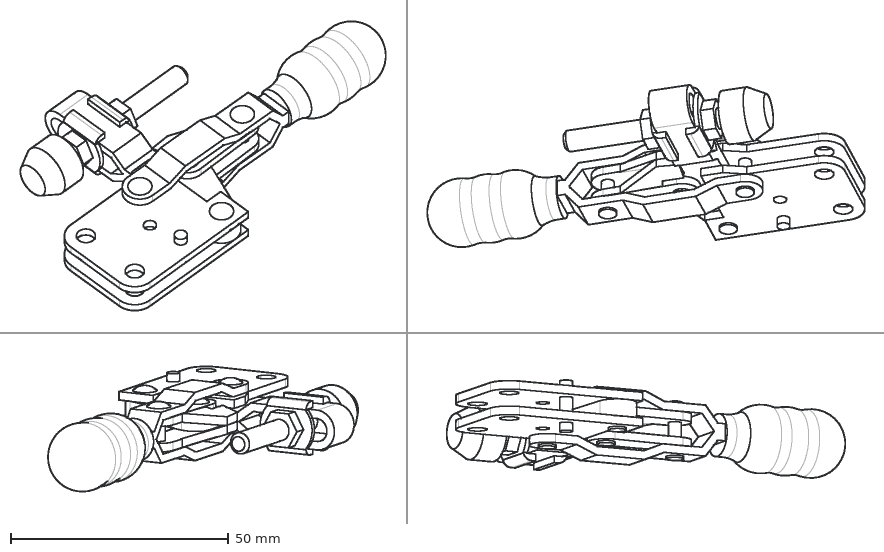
import cadquery as cq
import math


sheet = 2.0
arm_half = sheet
base_outer = arm_half + sheet
handle_outer = base_outer + sheet

handle_pivot = (0.0, 0.0)
arm_pivot = (17.5, 9.1)
link_arm_pivot = (0.2, 15.1)
handle_tilt = -0.5
link_distance = 33.0
link_handle_pivot = (
    -link_distance * math.sin(math.radians(handle_tilt)),
    link_distance * math.cos(math.radians(handle_tilt)),
)

rivet_radius = 1.5
dome_radius = 2.8
dome_height = 1.1
tail_radius = 2.1
tail_height = 0.5
pin_half_length = 5.9

base_left = -3.9
base_right = 22.0
base_bottom = -23.6
base_top = 8.9
corner_radius = 5.0
nose_left = -6.0
nose_bottom = 3.6
nose_taper_end = -1.5
tab_left = 12.9
tab_top = 13.3
mounting_hole_radius = 2.2
small_hole_y = -5.8
pin_y = -4.2

length_x = 57.0
loop_outer_radius = 4.7
arm_left = base_right - length_x
loop_center_x = arm_left + loop_outer_radius
bend_start_x = -13.1
bend_end_x = -9.4
arm_bottom = 4.0
arm_top = 13.1
arm_center_y = (arm_bottom + arm_top) / 2
arm_pivot_end_radius = base_right - arm_pivot[0]
arm_link_end_radius = 4.9
flat_start_x = -9.0
arm_neck_x = -5.2

link_handle_end_radius = 3.8
link_arm_end_radius = 4.3
wing_angle = 18.0
wing_bend_x = -3.5
wing_top_y = 29.1
wing_left = -9.7
wing_shoulder_y = 18.5
wing_foot_left = -9.3
slot_left = -5.4
slot_top = wing_shoulder_y
slot_corner_radius = 0.8

handle_half_width = 4.1
bow_rise = 2.04
bow_lower_start = 5.73
bow_lower_end = 10.9
bow_upper_end = 23.1
bow_upper_start = 28.0
neck_bend_start = 38.3
neck_bend_end = 41.5

grip_radius = 8.0
grip_end = 76.0
grip_start = 43.9
collar_end = 46.4
collar_radius = 5.0
grip_neck_y = 49.6
groove_radius = 7.6
groove_half_width = 1.4
upper_groove_y = 64.9
lower_groove_y = 57.9
end_ball_y = grip_end - grip_radius
middle_ball_y = (upper_groove_y + lower_groove_y) / 2
lower_ball_y = 55.1

spindle_x = -22.8
rod_radius = 2.5
rod_end = 36.6
rod_chamfer = 0.8
washer_thickness = 1.1
washer_radius = 6.9
lip_width = 10.4
lip_end = 2.2
lip_top = 6.3
lip_bend_radius = 2.2
nut_flats = 8.0
nut_height = 3.1
cap_radius = 6.3
cap_tip_radius = 4.1
cap_back = -1.9
cap_shoulder = -7.9
cap_tip = -12.2


def slab(bottom, top):
    """Sketch plane at Z = bottom and the extrusion height up to Z = top."""
    return cq.Workplane("XY", origin=(0, 0, bottom)), top - bottom


def cylinder(center, radius, bottom, top):
    plane, height = slab(bottom, top)
    return plane.center(*center).circle(radius).extrude(height)


def both_sides(shape):
    """The shape together with its mirror image below Z = 0."""
    return shape.union(shape.mirror("XY"))


def strap(start, start_radius, end, end_radius, bottom, top):
    """Flat bar with round ends joined by the outer tangents of the two end circles."""
    dx = end[0] - start[0]
    dy = end[1] - start[1]
    along = math.atan2(dy, dx)
    spread = math.acos((start_radius - end_radius) / math.hypot(dx, dy))

    def on_circle(center, radius, angle):
        return (center[0] + radius * math.cos(angle), center[1] + radius * math.sin(angle))

    plane, height = slab(bottom, top)
    return (
        plane.moveTo(*on_circle(start, start_radius, along - spread))
        .lineTo(*on_circle(end, end_radius, along - spread))
        .threePointArc(on_circle(end, end_radius, along), on_circle(end, end_radius, along + spread))
        .lineTo(*on_circle(start, start_radius, along + spread))
        .threePointArc(
            on_circle(start, start_radius, along + math.pi),
            on_circle(start, start_radius, along - spread),
        )
        .close()
        .extrude(height)
    )


def sheet_outline(center_line):
    """Closed outline of a bent sheet, mitred at the bends of its centre line."""
    headings = []
    for (u0, v0), (u1, v1) in zip(center_line, center_line[1:]):
        headings.append(math.atan2(v1 - v0, u1 - u0))
    left_side = []
    right_side = []
    for index, (u, v) in enumerate(center_line):
        before = headings[max(index - 1, 0)]
        after = headings[min(index, len(headings) - 1)]
        normal = (before + after) / 2 + math.pi / 2
        reach = sheet / 2 / math.cos((after - before) / 2)
        du = reach * math.cos(normal)
        dv = reach * math.sin(normal)
        left_side.append((u + du, v + dv))
        right_side.append((u - du, v - dv))
    return left_side + right_side[::-1]


def rivet(center, outer):
    """Rivet through both sheets whose outer faces are at Z = +outer and -outer."""
    shank = cylinder(center, rivet_radius, -outer, outer)
    tail = cylinder(center, tail_radius, -outer - tail_height, -outer)
    ball_radius = (dome_radius**2 + dome_height**2) / (2 * dome_height)
    ball_z = outer + dome_height - ball_radius
    ball = cq.Workplane("XY", origin=(*center, ball_z)).sphere(ball_radius)
    dome = ball.intersect(cylinder(center, dome_radius, outer, outer + dome_height))
    return shank.union(tail).union(dome)


def make_base():
    plane, height = slab(arm_half, base_outer)
    plate = (
        plane.polyline([
            (base_left, base_bottom),
            (base_right, base_bottom),
            (base_right, tab_top),
            (tab_left, tab_top),
            (tab_left, base_top),
            (nose_left, base_top),
            (nose_left, nose_bottom),
            (base_left, nose_taper_end),
        ])
        .close()
        .extrude(height)
        .edges("|Z and <Y")
        .fillet(corner_radius)
    )
    middle_x = (base_left + base_right) / 2
    hole_y = base_bottom + corner_radius
    for hole_x in (base_left + corner_radius, base_right - corner_radius):
        plate = plate.cut(cylinder((hole_x, hole_y), mounting_hole_radius, arm_half, base_outer))
    for center in ((middle_x, small_hole_y), handle_pivot):
        plate = plate.cut(cylinder(center, rivet_radius, arm_half, base_outer))
    pin = cylinder((arm_pivot[0], pin_y), rivet_radius, -pin_half_length, pin_half_length)
    return both_sides(plate).union(pin).union(rivet(arm_pivot, base_outer))


def make_arm():
    center_radius = loop_outer_radius - sheet / 2
    leg_outline = sheet_outline([
        (loop_center_x, center_radius),
        (bend_start_x, center_radius),
        (bend_end_x, sheet / 2),
        (flat_start_x, sheet / 2),
    ])
    fork_plane = cq.Workplane("XZ", origin=(0, arm_top, 0))
    width = arm_top - arm_bottom
    legs = both_sides(fork_plane.polyline(leg_outline).close().extrude(width))

    ring = (
        fork_plane.center(loop_center_x, 0)
        .circle(loop_outer_radius)
        .circle(loop_outer_radius - sheet)
        .extrude(width)
    )
    left_half = cq.Workplane("XY").box(
        loop_outer_radius, width, 2 * loop_outer_radius
    ).translate((loop_center_x - loop_outer_radius / 2, arm_center_y, 0))
    loop = ring.intersect(left_half)

    plane, height = slab(-arm_half, arm_half)
    web = (
        plane.polyline([
            (flat_start_x, arm_bottom),
            (handle_pivot[0], arm_bottom),
            (arm_pivot[0], arm_pivot[1] - arm_pivot_end_radius),
            arm_pivot,
            link_arm_pivot,
            (link_arm_pivot[0] - arm_link_end_radius, link_arm_pivot[1]),
            (arm_neck_x, arm_top),
            (flat_start_x, arm_top),
        ])
        .close()
        .extrude(height)
    )
    crank = strap(
        link_arm_pivot, arm_link_end_radius, arm_pivot, arm_pivot_end_radius, -arm_half, arm_half
    )
    arm = legs.union(loop).union(web).union(crank)
    for center in (arm_pivot, link_arm_pivot):
        arm = arm.cut(cylinder(center, rivet_radius, -arm_half, arm_half))
    return arm


def make_wing():
    link_z = arm_half + sheet / 2
    tip_x = wing_left - sheet
    tip_z = link_z - (wing_bend_x - tip_x) * math.tan(math.radians(wing_angle))
    profile = sheet_outline([
        (tip_x, tip_z),
        (wing_bend_x, link_z),
        (link_arm_pivot[0], link_z),
    ])
    length = wing_top_y - arm_top
    bent_sheet = cq.Workplane("XZ", origin=(0, wing_top_y, 0)).polyline(profile).close().extrude(length)
    arc_side = slot_corner_radius * (1 - math.sqrt(0.5))
    plane, height = slab(0, base_outer)
    footprint = (
        plane.polyline([
            (link_arm_pivot[0], wing_top_y),
            (link_handle_pivot[0] - link_handle_end_radius, wing_top_y),
            (wing_left, wing_shoulder_y),
            (wing_foot_left, arm_top),
            (slot_left, arm_top),
            (slot_left, slot_top - slot_corner_radius),
        ])
        .threePointArc(
            (slot_left + arc_side, slot_top - arc_side), (slot_left + slot_corner_radius, slot_top)
        )
        .lineTo(link_arm_pivot[0], slot_top)
        .close()
        .extrude(height)
    )
    return bent_sheet.intersect(footprint)


def make_link():
    bar = strap(
        link_handle_pivot, link_handle_end_radius, link_arm_pivot, link_arm_end_radius,
        arm_half, base_outer,
    )
    bar = bar.union(make_wing()).cut(cylinder(link_handle_pivot, rivet_radius, 0, base_outer))
    return both_sides(bar).union(rivet(link_arm_pivot, base_outer))


def make_legs():
    leg_z = base_outer + sheet / 2
    bow_z = leg_z + bow_rise
    profile = sheet_outline([
        (-handle_half_width, leg_z),
        (bow_lower_start, leg_z),
        (bow_lower_end, bow_z),
        (bow_upper_end, bow_z),
        (bow_upper_start, leg_z),
        (neck_bend_start, leg_z),
        (neck_bend_end, sheet / 2),
        (collar_end, sheet / 2),
    ])
    leg = (
        cq.Workplane("YZ", origin=(-handle_half_width, 0, 0))
        .polyline(profile)
        .close()
        .extrude(2 * handle_half_width)
    )
    neck_end = (0, collar_end)
    round_ended = strap(
        handle_pivot, handle_half_width, neck_end, handle_half_width, 0, handle_outer + bow_rise
    )
    return both_sides(leg.intersect(round_ended))


def make_grip():
    def on_ball(center_y, y):
        return (math.sqrt(grip_radius**2 - (y - center_y) ** 2), y)

    neck = on_ball(lower_ball_y, grip_neck_y)
    neck_middle = ((neck[0] + 2 * collar_radius) / 3, (grip_neck_y + collar_end) / 2)
    upper_edges = (upper_groove_y + groove_half_width, upper_groove_y - groove_half_width)
    lower_edges = (lower_groove_y + groove_half_width, lower_groove_y - groove_half_width)
    return (
        cq.Workplane("XY")
        .moveTo(0, grip_end)
        .threePointArc(
            on_ball(end_ball_y, end_ball_y + grip_radius / 2), on_ball(end_ball_y, upper_edges[0])
        )
        .threePointArc((groove_radius, upper_groove_y), on_ball(middle_ball_y, upper_edges[1]))
        .threePointArc((grip_radius, middle_ball_y), on_ball(middle_ball_y, lower_edges[0]))
        .threePointArc((groove_radius, lower_groove_y), on_ball(lower_ball_y, lower_edges[1]))
        .threePointArc((grip_radius, lower_ball_y), neck)
        .threePointArc(neck_middle, (collar_radius, collar_end))
        .lineTo(collar_radius, grip_start)
        .lineTo(0, grip_start)
        .close()
        .revolve(360, (0, 0, 0), (0, 1, 0))
    )


def make_handle():
    handle = make_legs().union(make_grip())
    for rivet_y in (0, link_distance):
        handle = handle.union(rivet((0, rivet_y), handle_outer))
    return handle.rotate((0, 0, 0), (0, 0, 1), handle_tilt)


def make_washer_and_nut():
    """Washer and nut on the +Y edge of the arm."""
    outer_face = arm_top + washer_thickness
    disc = (
        cq.Workplane("XZ", origin=(spindle_x, outer_face, 0))
        .circle(washer_radius)
        .extrude(washer_thickness)
        .intersect(
            cq.Workplane("XY", origin=(spindle_x, arm_top, 0))
            .box(2 * washer_radius, 2 * washer_thickness, 2 * loop_outer_radius)
        )
    )
    arc_side = lip_bend_radius * (1 - math.sqrt(0.5))
    lip = (
        cq.Workplane("YZ", origin=(spindle_x - lip_width / 2, 0, 0))
        .moveTo(outer_face, 0)
        .lineTo(outer_face, lip_top - lip_bend_radius)
        .threePointArc(
            (outer_face - arc_side, lip_top - arc_side), (outer_face - lip_bend_radius, lip_top)
        )
        .lineTo(arm_top - lip_end, lip_top)
        .lineTo(arm_top - lip_end, loop_outer_radius)
        .lineTo(arm_top, loop_outer_radius)
        .lineTo(arm_top, 0)
        .close()
        .extrude(lip_width)
    )
    nut = (
        cq.Workplane("XZ", origin=(spindle_x, outer_face + nut_height, 0))
        .polygon(6, nut_flats / math.cos(math.pi / 6))
        .extrude(nut_height)
    )
    return disc.union(both_sides(lip)).union(nut)


def make_spindle():
    shaft = (
        cq.Workplane("XY")
        .polyline([
            (0, rod_end),
            (rod_radius - rod_chamfer, rod_end),
            (rod_radius, rod_end - rod_chamfer),
            (rod_radius, cap_back),
            (cap_radius, cap_back),
            (cap_radius, cap_shoulder),
            (cap_tip_radius, cap_tip),
            (0, cap_tip),
        ])
        .close()
        .revolve(360, (0, 0, 0), (0, 1, 0))
        .translate((spindle_x, 0, 0))
    )
    upper_set = make_washer_and_nut()
    lower_set = upper_set.mirror("XZ", (0, arm_center_y, 0))
    return shaft.union(upper_set).union(lower_set)


base = make_base()
arm = make_arm()
link = make_link()
handle = make_handle()
spindle = make_spindle()

result = cq.Compound.makeCompound([
    base.val(),
    arm.val(),
    link.val(),
    handle.val(),
    spindle.val(),
])